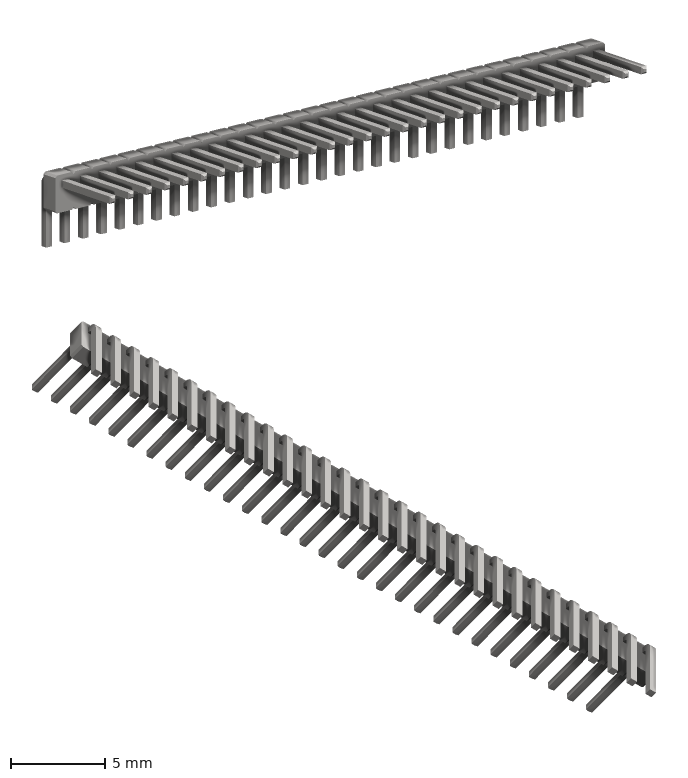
import cadquery as cq

row_length = 38.1
overall_width = 5.7
overall_height = 4.35
pin_count = 30
pitch = row_length / pin_count

body_width = 1.0
body_height = 2.1
body_left = 0.7
block_chamfer = 0.125

pin_size = 0.4
pin_drop = 0.325
bend_outer_radius = 0.57
bend_inner_radius = bend_outer_radius - pin_size
tip_chamfer = 0.1

body_top = overall_height
pin_top = body_top - pin_drop


def body_block():
    """Block with its four long edges (along X) chamfered, centred on Y = 0."""
    return (
        cq.Workplane("XY")
        .box(body_width, pitch, body_height, centered=(False, True, False))
        .edges("|X")
        .chamfer(block_chamfer)
        .translate((body_left, 0, body_top - body_height))
    )


def bent_pin():
    """Right-angle pin: leg down, rounded bend, arm along +X with a tapered tip."""
    return (
        cq.Workplane("XZ")
        .lineTo(0, pin_top - bend_outer_radius)
        .radiusArc((bend_outer_radius, pin_top), bend_outer_radius)
        .lineTo(overall_width, pin_top)
        .lineTo(overall_width, pin_top - pin_size)
        .lineTo(bend_outer_radius, pin_top - pin_size)
        .radiusArc((pin_size, pin_top - bend_outer_radius), -bend_inner_radius)
        .lineTo(pin_size, 0)
        .close()
        .extrude(pin_size / 2, both=True)
        .faces(">X")
        .chamfer(tip_chamfer)
    )


contact = body_block().union(bent_pin())
first_y = (pitch - row_length) / 2
positions = [(0, first_y + i * pitch) for i in range(pin_count)]

result = cq.Workplane("XY").pushPoints(positions).eachpoint(
    lambda place: contact.val().moved(place), combine=True
)